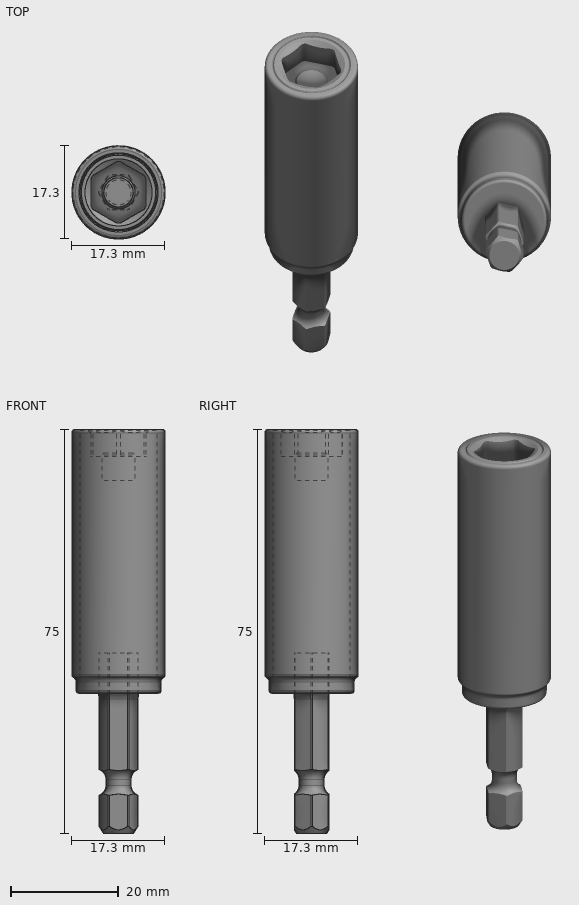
import cadquery as cq
import math

TOTAL_LENGTH = 75.0

SLEEVE_DIAMETER = 17.3
SLEEVE_BOTTOM = 29.0
SLEEVE_TOP_FILLET = 0.7
BORE_RADIUS = 7.1
RIM_CHAMFER = 0.2
ROUND_HEIGHT = 0.45
ROUND_INSET = 0.2

COLLAR_RADIUS = 7.9
COLLAR_BOTTOM = 26.0
COLLAR_FILLET = 0.5
NECK_HEIGHT = 0.9
HEX_FLATS = 10.2
HEX_CORNER_DIAMETER = 11.4
HEX_DEPTH = 5.0
MOUTH_RADIUS = 6.2
MOUTH_ANGLE = 30.0

MAGNET_RADIUS = 3.1
MAGNET_PROTRUSION = 0.6
MAGNET_CHAMFER = 0.4
MAGNET_RECESS = 4.5

SHANK_FLATS = 6.4
SHANK_CORNER_RADIUS = 3.6
SHANK_INSERTION = 7.5
GROOVE_RADIUS = 2.3
GROOVE_BOTTOM = 8.9
GROOVE_TOP = 10.05
GROOVE_FILLET = 1.95
FLARE_START = 25.0
FLARE_RADIUS = 6.0
TIP_RADIUS = 2.8
TIP_HEIGHT = 1.35

SLEEVE_RADIUS = SLEEVE_DIAMETER / 2
FLOOR_HEIGHT = TOTAL_LENGTH - HEX_DEPTH
SHANK_TOP = COLLAR_BOTTOM + SHANK_INSERTION
SLEEVE_EDGE_RADIUS = SLEEVE_RADIUS - ROUND_INSET


def tangent_arc_radius(along, across):
    """Radius of an arc that starts tangent to `along` and ends `across` to the side."""
    return (along**2 + across**2) / (2 * across)


def cylinder(radius, bottom, top):
    return cq.Workplane("XY").workplane(offset=bottom).circle(radius).extrude(top - bottom)


def hexagon(flats, bottom, top, rotation):
    """Hexagonal bar along Z; with no rotation two corners lie on the X axis."""
    corner_diameter = flats / math.cos(math.pi / 6)
    bar = cq.Workplane("XY").polygon(6, corner_diameter).extrude(top - bottom)
    return bar.rotate((0, 0, 0), (0, 0, 1), rotation).translate((0, 0, bottom))


def revolve(profile):
    """Turn a closed (radius, height) profile about the Z axis."""
    return profile.close().revolve(360, (0, 0, 0), (0, 1, 0))


def make_sleeve():
    round_radius = tangent_arc_radius(ROUND_HEIGHT, ROUND_INSET)
    profile = (
        cq.Workplane("XZ")
        .moveTo(BORE_RADIUS, SLEEVE_BOTTOM)
        .lineTo(SLEEVE_EDGE_RADIUS, SLEEVE_BOTTOM)
        .radiusArc((SLEEVE_RADIUS, SLEEVE_BOTTOM + ROUND_HEIGHT), -round_radius)
        .lineTo(SLEEVE_RADIUS, TOTAL_LENGTH - SLEEVE_TOP_FILLET)
        .radiusArc((SLEEVE_RADIUS - SLEEVE_TOP_FILLET, TOTAL_LENGTH), -SLEEVE_TOP_FILLET)
        .lineTo(BORE_RADIUS + RIM_CHAMFER, TOTAL_LENGTH)
        .lineTo(BORE_RADIUS, TOTAL_LENGTH - RIM_CHAMFER)
    )
    return revolve(profile)


def make_socket_blank():
    neck_radius = tangent_arc_radius(NECK_HEIGHT, SLEEVE_EDGE_RADIUS - COLLAR_RADIUS)
    profile = (
        cq.Workplane("XZ")
        .moveTo(0, COLLAR_BOTTOM)
        .lineTo(COLLAR_RADIUS - COLLAR_FILLET, COLLAR_BOTTOM)
        .radiusArc((COLLAR_RADIUS, COLLAR_BOTTOM + COLLAR_FILLET), -COLLAR_FILLET)
        .lineTo(COLLAR_RADIUS, SLEEVE_BOTTOM - NECK_HEIGHT)
        .radiusArc((SLEEVE_EDGE_RADIUS, SLEEVE_BOTTOM), neck_radius)
        .lineTo(BORE_RADIUS, SLEEVE_BOTTOM)
        .lineTo(BORE_RADIUS, TOTAL_LENGTH - RIM_CHAMFER)
        .lineTo(BORE_RADIUS - RIM_CHAMFER, TOTAL_LENGTH)
        .lineTo(0, TOTAL_LENGTH)
    )
    return revolve(profile)


def make_hex_opening():
    bar = hexagon(HEX_FLATS, FLOOR_HEIGHT, TOTAL_LENGTH, 30)
    return bar.intersect(cylinder(HEX_CORNER_DIAMETER / 2, FLOOR_HEIGHT, TOTAL_LENGTH))


def make_mouth_cone():
    depth = MOUTH_RADIUS * math.tan(math.radians(MOUTH_ANGLE))
    profile = (
        cq.Workplane("XZ")
        .moveTo(0, TOTAL_LENGTH - depth)
        .lineTo(MOUTH_RADIUS, TOTAL_LENGTH)
        .lineTo(0, TOTAL_LENGTH)
    )
    return revolve(profile)


def make_magnet():
    top = FLOOR_HEIGHT + MAGNET_PROTRUSION
    magnet = cylinder(MAGNET_RADIUS, FLOOR_HEIGHT - MAGNET_RECESS, top)
    return magnet.faces(">Z").chamfer(MAGNET_CHAMFER)


def make_shank_envelope():
    """Turned shape of the shank: chamfered tip, rounded corners and locking groove."""
    depth = SHANK_CORNER_RADIUS - GROOVE_RADIUS
    flare = math.sqrt(GROOVE_FILLET**2 - (GROOVE_FILLET - depth)**2)
    profile = (
        cq.Workplane("XZ")
        .moveTo(0, 0)
        .lineTo(TIP_RADIUS, 0)
        .lineTo(SHANK_CORNER_RADIUS, TIP_HEIGHT)
        .lineTo(SHANK_CORNER_RADIUS, GROOVE_BOTTOM - flare)
        .radiusArc((GROOVE_RADIUS, GROOVE_BOTTOM), GROOVE_FILLET)
        .lineTo(GROOVE_RADIUS, GROOVE_TOP)
        .radiusArc((SHANK_CORNER_RADIUS, GROOVE_TOP + flare), GROOVE_FILLET)
        .lineTo(SHANK_CORNER_RADIUS, SHANK_TOP)
        .lineTo(0, SHANK_TOP)
    )
    return revolve(profile)


def flare_profile(half_width):
    """Half outline from the flare start up to the collar, widening along a concave arc."""
    height = COLLAR_BOTTOM - FLARE_START
    widening = FLARE_RADIUS - math.sqrt(FLARE_RADIUS**2 - height**2)
    return (
        cq.Workplane("XZ")
        .moveTo(0, FLARE_START)
        .lineTo(half_width, FLARE_START)
        .radiusArc((half_width + widening, COLLAR_BOTTOM), -FLARE_RADIUS)
        .lineTo(0, COLLAR_BOTTOM)
    )


def make_seat_flare():
    """Flared hexagon: the round corner flare trimmed by the flare of each flat."""
    flare = revolve(flare_profile(SHANK_CORNER_RADIUS))
    half_slab = flare_profile(SHANK_FLATS / 2).close().extrude(2 * SHANK_CORNER_RADIUS, both=True)
    slab = half_slab.union(half_slab.mirror("YZ"))
    for angle in (30, 90, 150):
        flare = flare.intersect(slab.rotate((0, 0, 0), (0, 0, 1), angle))
    return flare


def make_shank():
    bar = hexagon(SHANK_FLATS, 0, SHANK_TOP, 0).intersect(make_shank_envelope())
    return bar.union(make_seat_flare())


def make_socket(magnet, shank):
    blank = make_socket_blank()
    return blank.cut(make_hex_opening()).cut(make_mouth_cone()).cut(magnet).cut(shank)


sleeve = make_sleeve()
magnet = make_magnet()
shank = make_shank()
socket = make_socket(magnet, shank)

result = cq.Compound.makeCompound([sleeve.val(), socket.val(), magnet.val(), shank.val()])